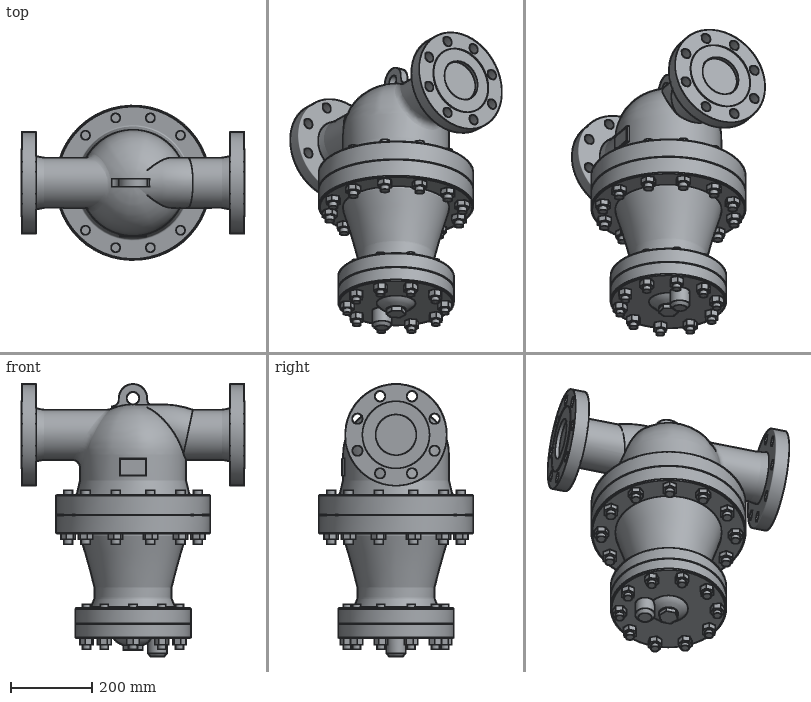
import cadquery as cq
import math

length_x = 550.0
bottom_z = -545.0

pipe_r = 62.0
pipe_flange_r = 125.0
pipe_flange_thk = 37.0
raised_face_r = 82.5
raised_face_height = 2.0
pipe_hub_r = 65.5
pipe_hub_length = 20.0
port_r = 50.0
port_depth = 10.0
pipe_bolt_count = 8
pipe_bolt_circle_r = 102.5
pipe_bolt_hole_r = 12.5
pipe_rim_round = 2.0
pipe_face_x = -length_x / 2
pipe_flange_back_x = pipe_face_x + pipe_flange_thk

body_r = 130.5
dome_base_z = -48.0
dome_top_z = 75.0
body_hub_top_z = -112.0
body_hub_r = 138.0
inlet_fillet_r = 18.0

bend_start_x = 73.0
bend_end_x = 146.0
bend_rise = dome_top_z - pipe_r
bend_overrun = 1.5

upper_flange_r = 190.0
upper_top_z = -147.0
upper_joint_z = -197.0
upper_bottom_z = -243.0
upper_gasket_r = 142.5
flange_edge = 3.0
gasket_thk = 2.0
body_fillet_r = 4.0

neck_top_z = -248.0
neck_end_z = -375.0
neck_r = 95.0
neck_mid_r = 111.5
neck_hub_top_z = -402.0
neck_hub_r = 103.5
neck_fillet_r = 2.5
neck_blend_r = 10.0

lower_flange_r = 142.5
lower_top_z = -425.0
lower_joint_z = -464.0
lower_bottom_z = -500.0
lower_gasket_r = 204.5 / 2

upper_bolts = dict(count=12, circle_r=165.0, start_angle=15.0, stud_r=11.1, nut_flats=32.0,
                   top_z=-136.0, nut_top_z=upper_bottom_z, nut_height=14.0, bottom_z=-269.0)
lower_bolts = dict(count=10, circle_r=120.0, start_angle=90.0, stud_r=10.0, nut_flats=30.0,
                   top_z=-416.0, nut_top_z=lower_bottom_z, nut_height=16.0, bottom_z=-527.0)

eye_r = 35.0
eye_hole_r = 15.0
eye_thk = 20.0
eye_z = pipe_flange_r - eye_r
eye_foot_r = 17.0
eye_foot_z = 70.0
eye_root_z = 50.0

plate_width = 66.0
plate_height = 43.0
plate_z = -79.5
plate_front_y = -133.0
plate_root_y = -115.0
plate_chamfer = 2.0

cap_r = 48.0
cap_mid_r = 38.0
cap_mid_z = -510.0
cap_bottom_z = -517.0
plug_corner_d = 48.0
plug_bottom_z = -529.0
drain_x = 60.0
drain_r = 24.0
drain_chamfer_height = 9.0
drain_chamfer_width = 7.5

overlap = 20.0
select_margin = 1.0


def z_cylinder(radius, z_low, z_high):
    return cq.Workplane("XY", origin=(0, 0, z_low)).circle(radius).extrude(z_high - z_low)


def make_upper_body():
    """Dome, cylinder and flared hub, standing in the upper flange."""
    return (
        cq.Workplane("XZ")
        .moveTo(0, upper_top_z - overlap)
        .lineTo(body_hub_r, upper_top_z - overlap)
        .lineTo(body_hub_r, upper_top_z + body_fillet_r)
        .lineTo(body_r, body_hub_top_z)
        .lineTo(body_r, dome_base_z)
        .ellipseArc(body_r, dome_top_z - dome_base_z, 0, 90, startAtCurrent=True)
        .close()
        .revolve(360, (0, 0), (0, 1))
    )


def add_inlet_pipe(body):
    """Straight pipe on the -X side, blended into the dome by a fillet."""
    pipe = cq.Workplane("YZ").circle(pipe_r).extrude(pipe_flange_back_x)
    joined = body.union(pipe)
    seam = cq.selectors.BoxSelector(
        (-body_r - overlap, -2 * pipe_r, -2 * pipe_r), (-pipe_r / 2, 2 * pipe_r, 2 * pipe_r), boundingbox=True
    )
    return joined.edges(seam).fillet(inlet_fillet_r)


def make_outlet_pipe():
    """Pipe on the +X side: level at the dome top, then bent down to a mitre with the straight pipe."""
    crown_radius = ((bend_end_x - bend_start_x) ** 2 + bend_rise**2) / (2 * bend_rise)
    axis_radius = crown_radius - pipe_r
    sweep_angle = math.degrees(math.acos(1 - bend_rise / axis_radius))
    mitre_x = bend_start_x + axis_radius * math.sin(math.radians(sweep_angle))
    level_part = cq.Workplane("YZ").center(0, bend_rise).circle(pipe_r).extrude(bend_start_x)
    bend = (
        cq.Workplane("YZ", origin=(bend_start_x, 0, bend_rise))
        .circle(pipe_r)
        .revolve(bend_overrun * sweep_angle, (-1, -axis_radius), (1, -axis_radius))
    )
    straight_part = cq.Workplane("YZ").circle(pipe_r).extrude(-pipe_flange_back_x)
    beyond_mitre = (
        cq.Workplane("YZ")
        .rect(4 * pipe_r, 4 * pipe_r)
        .extrude(length_x)
        .rotate((0, 0, 0), (0, 1, 0), sweep_angle / 2)
        .translate((mitre_x, 0, 0))
    )
    return level_part.union(bend.cut(beyond_mitre)).union(straight_part.intersect(beyond_mitre))


def make_inlet_flange():
    """Pipe flange at the -X end: raised face, rim, neck hub and bolt holes."""
    rim_face_x = pipe_face_x + raised_face_height
    rim = (
        cq.Workplane("YZ", origin=(rim_face_x, 0, 0))
        .circle(pipe_flange_r)
        .extrude(pipe_flange_back_x - rim_face_x)
        .edges(">X")
        .fillet(pipe_rim_round)
    )
    raised_face = cq.Workplane("YZ", origin=(pipe_face_x, 0, 0)).circle(raised_face_r).extrude(overlap)
    hub = (
        cq.Workplane("XY")
        .moveTo(pipe_flange_back_x, 0)
        .lineTo(pipe_flange_back_x, pipe_hub_r)
        .lineTo(pipe_flange_back_x + pipe_hub_length, pipe_r)
        .lineTo(pipe_flange_back_x + pipe_hub_length, 0)
        .close()
        .revolve(360, (0, 0), (1, 0))
    )
    bolt_holes = (
        cq.Workplane("YZ", origin=(pipe_face_x, 0, 0))
        .polarArray(pipe_bolt_circle_r, 180 / pipe_bolt_count, 360, pipe_bolt_count)
        .circle(pipe_bolt_hole_r)
        .extrude(2 * pipe_flange_thk)
    )
    return rim.union(raised_face).union(hub).cut(bolt_holes)


def make_inlet_port():
    return cq.Workplane("YZ", origin=(pipe_face_x, 0, 0)).circle(port_r).extrude(port_depth)


def make_flange_pair(radius, top_z, joint_z, bottom_z, gasket_r):
    """Two flanges held apart by a thin gasket of smaller radius."""
    top = z_cylinder(radius, joint_z + gasket_thk / 2, top_z).faces(">Z").chamfer(flange_edge)
    bottom = z_cylinder(radius, bottom_z, joint_z - gasket_thk / 2).faces("<Z").chamfer(flange_edge)
    gasket = z_cylinder(gasket_r, joint_z - overlap, joint_z + overlap)
    return top.union(gasket).union(bottom)


def make_hub_collar(hub_r, flange_top_z, fillet_r):
    """Ring fillet where a flared hub meets the top of its flange."""
    collar_top_z = flange_top_z + fillet_r
    return (
        cq.Workplane("XZ")
        .moveTo(0, flange_top_z - overlap)
        .lineTo(hub_r + fillet_r, flange_top_z - overlap)
        .lineTo(hub_r + fillet_r, flange_top_z)
        .radiusArc((hub_r, collar_top_z), fillet_r)
        .lineTo(0, collar_top_z)
        .close()
        .revolve(360, (0, 0), (0, 1))
    )


def make_neck():
    """Curved taper, short cylinder and flared hub between the flange pairs."""
    blended_edges = cq.selectors.BoxSelector(
        (-neck_hub_r, -neck_hub_r, neck_hub_top_z - select_margin),
        (neck_hub_r, neck_hub_r, neck_end_z + select_margin),
    )
    return (
        cq.Workplane("XZ")
        .moveTo(0, upper_bottom_z + overlap)
        .lineTo(body_r, upper_bottom_z + overlap)
        .lineTo(body_r, neck_top_z)
        .threePointArc((neck_mid_r, (neck_top_z + neck_end_z) / 2), (neck_r, neck_end_z))
        .lineTo(neck_r, neck_hub_top_z)
        .lineTo(neck_hub_r, lower_top_z + neck_fillet_r)
        .lineTo(neck_hub_r, lower_top_z - overlap)
        .lineTo(0, lower_top_z - overlap)
        .close()
        .revolve(360, (0, 0), (0, 1))
        .edges("%CIRCLE")
        .edges(blended_edges)
        .fillet(neck_blend_r)
    )


def make_bolts(count, circle_r, start_angle, stud_r, nut_flats, top_z, nut_top_z, nut_height, bottom_z):
    """Ring of studs with hexagon nuts whose corners point along the circle's radii."""
    nut_corner_d = nut_flats / math.cos(math.radians(30))
    studs = (
        cq.Workplane("XY", origin=(0, 0, bottom_z))
        .polarArray(circle_r, start_angle, 360, count)
        .circle(stud_r)
        .extrude(top_z - bottom_z)
    )
    nuts = (
        cq.Workplane("XY", origin=(0, 0, nut_top_z - nut_height))
        .polarArray(circle_r, start_angle, 360, count)
        .polygon(6, nut_corner_d)
        .extrude(nut_height)
    )
    return studs.union(nuts)


def make_lifting_eye():
    """Upright eye on the dome top with a rounded foot on either side."""
    foot_x = eye_r + eye_foot_r
    eye = (
        cq.Workplane("XZ", origin=(0, eye_thk / 2, 0))
        .moveTo(-foot_x, eye_root_z)
        .lineTo(-foot_x, eye_foot_z)
        .radiusArc((-eye_r, eye_foot_z + eye_foot_r), -eye_foot_r)
        .lineTo(-eye_r, eye_z)
        .threePointArc((0, eye_z + eye_r), (eye_r, eye_z))
        .lineTo(eye_r, eye_foot_z + eye_foot_r)
        .radiusArc((foot_x, eye_foot_z), -eye_foot_r)
        .lineTo(foot_x, eye_root_z)
        .close()
        .extrude(eye_thk)
    )
    hole = cq.Workplane("XZ", origin=(0, eye_thk, eye_z)).circle(eye_hole_r).extrude(2 * eye_thk)
    return eye.cut(hole)


def make_name_plate():
    """Flat plate with chamfered edges on the -Y side of the body."""
    return (
        cq.Workplane("XZ", origin=(0, plate_root_y, plate_z))
        .rect(plate_width, plate_height)
        .extrude(plate_root_y - plate_front_y)
        .faces("<Y")
        .edges()
        .chamfer(plate_chamfer)
    )


def make_bottom_cap():
    """Domed cap under the lower flange carrying a hexagonal plug."""
    plug_r = plug_corner_d / 2
    cap = (
        cq.Workplane("XZ")
        .moveTo(0, lower_bottom_z + overlap)
        .lineTo(cap_r, lower_bottom_z + overlap)
        .lineTo(cap_r, lower_bottom_z)
        .threePointArc((cap_mid_r, cap_mid_z), (plug_r, cap_bottom_z))
        .lineTo(0, cap_bottom_z)
        .close()
        .revolve(360, (0, 0), (0, 1))
    )
    plug = (
        cq.Workplane("XY", origin=(0, 0, plug_bottom_z))
        .polygon(6, plug_corner_d)
        .extrude(lower_bottom_z - plug_bottom_z)
    )
    return cap.union(plug)


def make_drain():
    """Round drain stub beside the plug, with a chamfered end."""
    return (
        z_cylinder(drain_r, bottom_z, lower_bottom_z + overlap)
        .faces("<Z")
        .chamfer(drain_chamfer_height, drain_chamfer_width)
        .translate((drain_x, 0, 0))
    )


inlet_flange = make_inlet_flange()

result = (
    add_inlet_pipe(make_upper_body())
    .union(make_outlet_pipe())
    .union(inlet_flange)
    .union(inlet_flange.mirror("YZ"))
    .cut(make_inlet_port())
    .cut(make_inlet_port().mirror("YZ"))
    .union(make_flange_pair(upper_flange_r, upper_top_z, upper_joint_z, upper_bottom_z, upper_gasket_r))
    .union(make_hub_collar(body_hub_r, upper_top_z, body_fillet_r))
    .union(make_neck())
    .union(make_flange_pair(lower_flange_r, lower_top_z, lower_joint_z, lower_bottom_z, lower_gasket_r))
    .union(make_hub_collar(neck_hub_r, lower_top_z, neck_fillet_r))
    .union(make_bolts(**upper_bolts))
    .union(make_bolts(**lower_bolts))
    .union(make_lifting_eye())
    .union(make_name_plate())
    .union(make_bottom_cap())
    .union(make_drain())
)